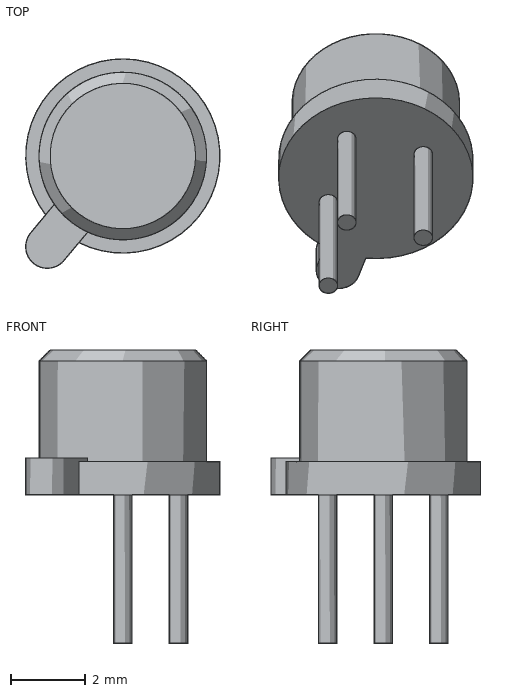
import cadquery as cq
import math


flange_diameter = 5.24
flange_thickness = 0.9
can_diameter = 4.52
can_top = 3.91
can_chamfer = 0.3

tab_width = 1.17
tab_height = 1.0
tab_end_distance = 3.181
tab_angle = 230.2

lead_diameter = 0.5
lead_length = 4.0
lead_circle_radius = 1.5
lead_angles = (-90.0, 0.0, 90.0)
lead_overlap = flange_thickness / 2


def make_flange():
    return cq.Workplane("XY").circle(flange_diameter / 2).extrude(flange_thickness)


def make_can():
    can = cq.Workplane("XY").circle(can_diameter / 2).extrude(can_top)
    return can.faces(">Z").chamfer(can_chamfer)


def make_tab():
    half_width = tab_width / 2
    outline = (
        cq.Workplane("XY")
        .moveTo(0, -half_width)
        .lineTo(tab_end_distance, -half_width)
        .threePointArc((tab_end_distance + half_width, 0), (tab_end_distance, half_width))
        .lineTo(0, half_width)
        .close()
    )
    return outline.extrude(tab_height).rotate((0, 0, 0), (0, 0, 1), tab_angle)


def make_lead(angle):
    x = lead_circle_radius * math.cos(math.radians(angle))
    y = lead_circle_radius * math.sin(math.radians(angle))
    lead = cq.Workplane("XY", origin=(x, y, -lead_length))
    return lead.circle(lead_diameter / 2).extrude(lead_length + lead_overlap)


result = make_flange().union(make_can()).union(make_tab())
for lead_angle in lead_angles:
    result = result.union(make_lead(lead_angle))